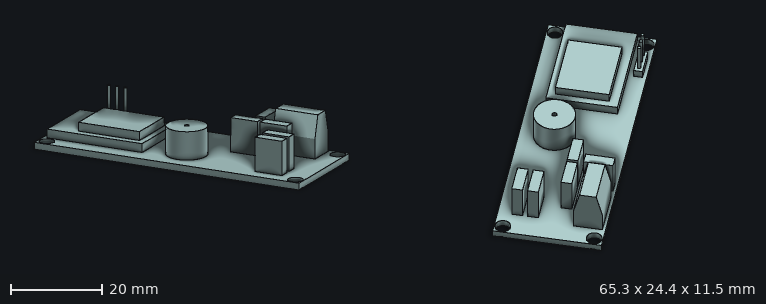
import cadquery as cq

BOARD_LENGTH = 65.35
BOARD_WIDTH = 24.4
BOARD_THICKNESS = 1.65
HOLE_DIAMETER = 3.4
HOLE_LEFT_MARGIN = 2.15
HOLE_RIGHT_MARGIN = 1.9
HOLE_MARGIN_Y = 1.95

CARRIER_CORNER = (1.05, 4.2)
CARRIER_SIZE = (23.45, 16.0)
MODULE_CORNER = (7.9, 6.0)
MODULE_SIZE = (15.0, 12.0)
DISPLAY_LAYER = 2.0

HEADER_CORNER = (6.15, 21.5)
HEADER_SIZE = (6.15, 1.95)
HEADER_HEIGHT = 1.75
PIN_COUNT = 3
PIN_PITCH = 2.0
PIN_DIAMETER = 0.8
FIRST_PIN_X = 7.0

BUZZER_CENTER = (33.65, 7.85)
BUZZER_DIAMETER = 9.3
BUZZER_HEIGHT = 6.55
BUZZER_HOLE_DIAMETER = 1.05

BLOCK_LENGTH = 6.6
BLOCK_WIDTH = 2.4
BLOCK_HEIGHT = 7.9
BLOCK_CORNERS_ALONG_X = [(41.6, 13.45), (48.9, 13.45), (52.9, 6.7), (52.9, 3.2)]
BLOCK_CORNER_ALONG_Y = (45.9, 17.1)

TERMINAL_CORNER = (50.1, 17.2)
TERMINAL_LENGTH = 10.4
TERMINAL_WIDTH = 6.5
TERMINAL_HEIGHT = 9.8
TERMINAL_BASE_HEIGHT = 4.6
TERMINAL_INSET = 1.4


def box_on(base_z, corner, size, height):
    """Box standing at base_z with its lower left corner at the given point."""
    return cq.Workplane("XY").box(*size, height, centered=False).translate((*corner, base_z))


def make_board():
    hole_centers = [
        (x, y)
        for x in (HOLE_LEFT_MARGIN, BOARD_LENGTH - HOLE_RIGHT_MARGIN)
        for y in (HOLE_MARGIN_Y, BOARD_WIDTH - HOLE_MARGIN_Y)
    ]
    board = box_on(0, (0, 0), (BOARD_LENGTH, BOARD_WIDTH), BOARD_THICKNESS)
    holes = (
        cq.Workplane("XY")
        .pushPoints(hole_centers)
        .circle(HOLE_DIAMETER / 2)
        .extrude(BOARD_THICKNESS)
    )
    return board.cut(holes)


def make_display():
    carrier = box_on(BOARD_THICKNESS, CARRIER_CORNER, CARRIER_SIZE, DISPLAY_LAYER)
    module = box_on(BOARD_THICKNESS + DISPLAY_LAYER, MODULE_CORNER, MODULE_SIZE, DISPLAY_LAYER)
    return carrier.union(module)


def make_header():
    pin_y = HEADER_CORNER[1] + HEADER_SIZE[1] / 2
    pin_centers = [(FIRST_PIN_X + i * PIN_PITCH, pin_y) for i in range(PIN_COUNT)]
    pins = (
        cq.Workplane("XY", origin=(0, 0, BOARD_THICKNESS))
        .pushPoints(pin_centers)
        .circle(PIN_DIAMETER / 2)
        .extrude(BLOCK_HEIGHT)
    )
    return box_on(BOARD_THICKNESS, HEADER_CORNER, HEADER_SIZE, HEADER_HEIGHT).union(pins)


def make_buzzer():
    return (
        cq.Workplane("XY", origin=(*BUZZER_CENTER, BOARD_THICKNESS))
        .circle(BUZZER_DIAMETER / 2)
        .circle(BUZZER_HOLE_DIAMETER / 2)
        .extrude(BUZZER_HEIGHT)
    )


def make_blocks():
    blocks = box_on(BOARD_THICKNESS, BLOCK_CORNER_ALONG_Y, (BLOCK_WIDTH, BLOCK_LENGTH), BLOCK_HEIGHT)
    for corner in BLOCK_CORNERS_ALONG_X:
        block = box_on(BOARD_THICKNESS, corner, (BLOCK_LENGTH, BLOCK_WIDTH), BLOCK_HEIGHT)
        blocks = blocks.union(block)
    return blocks


def make_terminal():
    profile = [
        (0, 0),
        (TERMINAL_WIDTH, 0),
        (TERMINAL_WIDTH, TERMINAL_BASE_HEIGHT),
        (TERMINAL_WIDTH - TERMINAL_INSET, TERMINAL_HEIGHT),
        (TERMINAL_INSET, TERMINAL_HEIGHT),
        (0, TERMINAL_BASE_HEIGHT),
    ]
    return (
        cq.Workplane("YZ", origin=(*TERMINAL_CORNER, BOARD_THICKNESS))
        .polyline(profile)
        .close()
        .extrude(TERMINAL_LENGTH)
    )


result = make_board()
for component in (make_display(), make_header(), make_buzzer(), make_blocks(), make_terminal()):
    result = result.union(component)